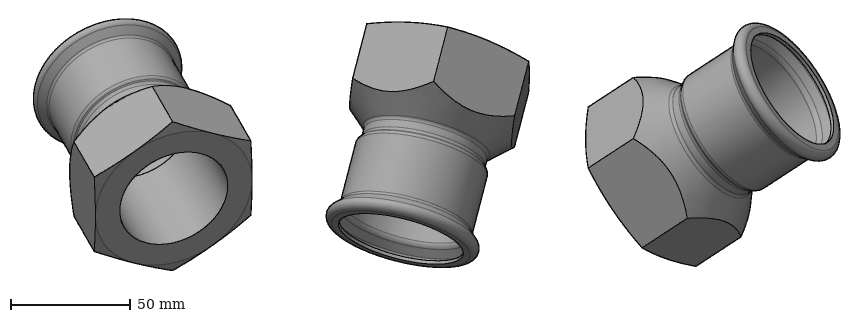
import cadquery as cq
import math

length = 84.0
across_flats = 70.0
across_corners = across_flats / math.cos(math.radians(30))

tube_radius = 57.0 / 2
socket_radius = 27.0
wall = tube_radius - socket_radius
bead_outer_radius = 33.0
bead_round = 3.0
bead_blend = 1.9
bead_center_radius = bead_outer_radius - bead_round

neck_radius = 53.4 / 2
neck_step_mid = 37.9
neck_blend = 2.3
cone_start = 44.0

socket_depth = 37.1
bore_radius = 24.1
end_chamfer_angle = 15

diagonal = math.sqrt(0.5)
slope_angle = math.radians(45)
half_slope = slope_angle / 2


def revolve(profile):
    """Turn a closed (axial, radial) profile around the X axis."""
    return profile.close().revolve(360, (0, 0, 0), (1, 0, 0))


def blend_corner(profile, x, r, radius, slope_before, slope_after):
    """Draw to a corner between a 45 degree and a level line, rounding it."""
    setback = radius * math.tan(half_slope)

    def point_along(slope, distance):
        run = distance * (diagonal if slope else 1)
        return (x + run, r + slope * run)

    start = point_along(slope_before, -setback)
    end = point_along(slope_after, setback)
    angle = half_slope * (slope_before + slope_after)
    side = 1 if slope_after > slope_before else -1
    toward_center = (-side * math.sin(angle), side * math.cos(angle))
    gap = radius * (1 / math.cos(half_slope) - 1)
    middle = (x + gap * toward_center[0], r + gap * toward_center[1])
    return profile.lineTo(*start).threePointArc(middle, end)


def bead_curve(profile, round_radius, level_radius, blend_radius):
    """Round over the bead, then slope at 45 degrees onto a level cylinder."""
    slope_x = bead_round + round_radius * diagonal
    slope_r = bead_center_radius + round_radius * diagonal
    middle_angle = (math.pi + slope_angle) / 2
    middle = (
        bead_round + round_radius * math.cos(middle_angle),
        bead_center_radius + round_radius * math.sin(middle_angle),
    )
    profile = profile.lineTo(bead_round - round_radius, bead_center_radius)
    profile = profile.threePointArc(middle, (slope_x, slope_r))
    corner_x = slope_x + slope_r - level_radius
    return blend_corner(profile, corner_x, level_radius, blend_radius, -1, 0)


def make_outer_body():
    """Solid turned body: bead, tube, neck and flaring cone."""
    half_step = (tube_radius - neck_radius) / 2
    cone_end_radius = neck_radius + length - cone_start
    profile = cq.Workplane("XY").moveTo(0, 0)
    profile = bead_curve(profile, bead_round, tube_radius, bead_blend)
    profile = blend_corner(profile, neck_step_mid - half_step, tube_radius, neck_blend, 0, -1)
    profile = blend_corner(profile, neck_step_mid + half_step, neck_radius, neck_blend, -1, 0)
    profile = blend_corner(profile, cone_start, neck_radius, neck_blend, 0, 1)
    return revolve(profile.lineTo(length, cone_end_radius).lineTo(length, 0))


def make_hexagon_envelope():
    """Hexagonal bar with corners at +Z and -Z and a chamfered far end."""
    bar = cq.Workplane("YZ").polygon(6, across_corners).extrude(length)
    bar = bar.rotate((0, 0, 0), (1, 0, 0), 90)
    corner_radius = across_corners / 2
    flat_radius = across_flats / 2
    chamfer_length = (corner_radius - flat_radius) * math.tan(math.radians(end_chamfer_angle))
    turned = cq.Workplane("XY").moveTo(0, 0).lineTo(0, corner_radius)
    turned = turned.lineTo(length - chamfer_length, corner_radius)
    turned = turned.lineTo(length, flat_radius).lineTo(length, 0)
    return bar.intersect(revolve(turned))


def make_cavity():
    """Mouth lip, seal groove inside the bead, socket and through bore."""
    profile = cq.Workplane("XY").moveTo(0, 0).lineTo(0, socket_radius).lineTo(wall, socket_radius)
    profile = bead_curve(profile, bead_round - wall, socket_radius, bead_blend + wall)
    profile = profile.lineTo(socket_depth, socket_radius).lineTo(socket_depth, bore_radius)
    return revolve(profile.lineTo(length, bore_radius).lineTo(length, 0))


result = make_outer_body().intersect(make_hexagon_envelope()).cut(make_cavity())